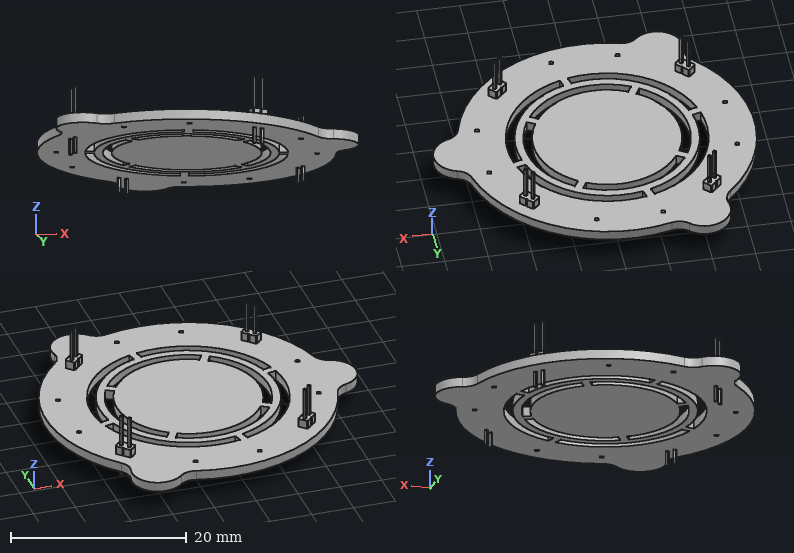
import cadquery as cq
import math

overall_length = 37.05
module = 1.0

plate_thickness = 1.2
tab_radius = 3.05
tab_count = 3
tab_fillet_radius = 2 * module
disc_radius = (overall_length - tab_radius) / 2

slots_per_ring = 4
slot_width = module
bridge_width = module
inner_slot_inner_radius = 8.52
inner_slot_first_bridge_angle = 60.0
outer_slot_inner_radius = inner_slot_inner_radius + 2 * module
outer_slot_first_bridge_angle = 15.0

hole_diameter = 0.5
feature_circle_radius = 14.8
hole_half_angle = 15.0

pin_pitch = module
pins_per_header = 2
pin_side = 0.3
pin_tip_chamfer = 0.07
pin_length_below_plate = 1.8
pin_length_above_base = 3.8
base_height = module
base_width = 1.22
cell_chamfer = 0.1
header_placements = [(45, -1), (135, -1), (225, -1), (315, 1)]

pin_height = pin_length_below_plate + plate_thickness + base_height + pin_length_above_base


def polar(radius, angle):
    """Point at a radius and an angle in degrees about the disc center."""
    return (radius * math.cos(math.radians(angle)), radius * math.sin(math.radians(angle)))


def make_disc_with_tabs():
    body = cq.Workplane("XY").circle(disc_radius).extrude(plate_thickness)
    for index in range(tab_count):
        center = polar(disc_radius, index * 360 / tab_count)
        body = body.union(cq.Workplane("XY").center(*center).circle(tab_radius).extrude(plate_thickness))

    crossing_half_angle = math.degrees(2 * math.asin(tab_radius / (2 * disc_radius)))
    for index in range(tab_count):
        for side in (-1, 1):
            x, y = polar(disc_radius, index * 360 / tab_count + side * crossing_half_angle)
            corner = cq.selectors.NearestToPointSelector((x, y, plate_thickness / 2))
            body = body.edges("|Z").edges(corner).fillet(tab_fillet_radius)
    return body


def make_slot_ring(inner_radius, first_bridge_angle):
    outer_radius = inner_radius + slot_width
    ring = cq.Workplane("XY").circle(outer_radius).circle(inner_radius).extrude(plate_thickness)
    for index in range(slots_per_ring):
        bridge = (
            cq.Workplane("XY")
            .center(inner_radius + slot_width / 2, 0)
            .rect(2 * slot_width, bridge_width)
            .extrude(plate_thickness)
            .rotate((0, 0, 0), (0, 0, 1), first_bridge_angle + index * 360 / slots_per_ring)
        )
        ring = ring.cut(bridge)
    return ring


def hole_positions():
    return [
        polar(feature_circle_radius, axis_angle + side * hole_half_angle)
        for axis_angle in (0, 90, 180, 270)
        for side in (-1, 1)
    ]


def place_header(shape, angle, side):
    """Move a shape onto the plate. Its first pin starts at the origin, with the pins in a row along X."""
    x, y = polar(feature_circle_radius, angle)
    return shape.rotate((0, 0, 0), (0, 0, 1), angle + side * 90).translate((x, y, 0))


def make_pins():
    return (
        cq.Workplane("XY")
        .workplane(offset=-pin_length_below_plate)
        .pushPoints([(index * pin_pitch, 0) for index in range(pins_per_header)])
        .rect(pin_side, pin_side)
        .extrude(pin_height)
        .faces("<Z or >Z")
        .chamfer(pin_tip_chamfer)
    )


def make_header():
    header = make_pins()
    for index in range(pins_per_header):
        cell = (
            cq.Workplane("XY")
            .workplane(offset=plate_thickness)
            .center(index * pin_pitch, 0)
            .rect(pin_pitch, base_width)
            .extrude(base_height)
            .edges("|Z")
            .chamfer(cell_chamfer)
        )
        header = header.union(cell)
    return header


def make_plate():
    body = make_disc_with_tabs()
    body = body.cut(make_slot_ring(inner_slot_inner_radius, inner_slot_first_bridge_angle))
    body = body.cut(make_slot_ring(outer_slot_inner_radius, outer_slot_first_bridge_angle))
    holes = cq.Workplane("XY").pushPoints(hole_positions()).circle(hole_diameter / 2).extrude(plate_thickness)
    body = body.cut(holes)
    for angle, side in header_placements:
        body = body.cut(place_header(make_pins(), angle, side))
    return body


plate = make_plate()
headers = [place_header(make_header(), angle, side) for angle, side in header_placements]

result = cq.Compound.makeCompound([plate.val(), *[header.val() for header in headers]])